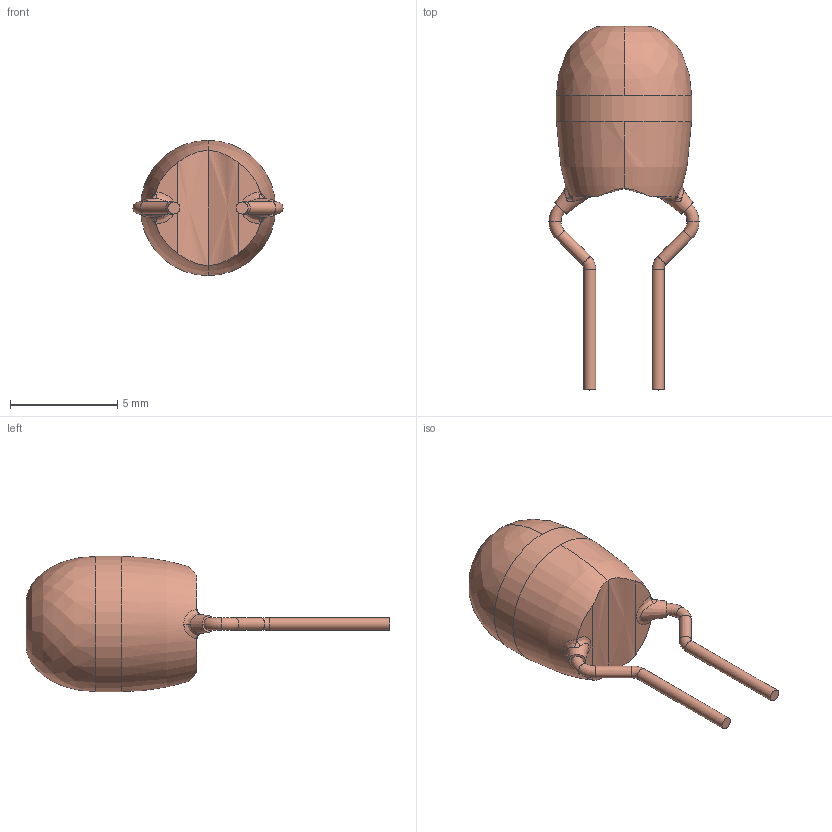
import cadquery as cq
import math


body_diameter = 6.3
body_length = 7.96
band_start = 3.5
band_end = 4.72
rear_flat_radius = 0.95
lead_end_radius = 2.55
lead_end_bulge = 0.15

saddle_half_width = 1.42
saddle_depth = 0.38
saddle_shoulder = 0.65

lead_diameter = 0.56
lead_spacing = 3.175
lead_tip_y = -9.0
overall_width = 6.99
lower_bend_start_y = -3.4
lower_bend_radius = 0.62
upper_bend_radius = 0.84
sleeve_bend_radius = 0.9
bend_angle = math.radians(45)

sleeve_diameter = 0.76
sleeve_taper = 8
sleeve_length = 1.6
sleeve_fillet = 0.35

body_radius = body_diameter / 2
lead_radius = lead_diameter / 2
bend_sin = math.sin(bend_angle)
bend_cos = math.cos(bend_angle)

lead_x = lead_spacing / 2
widest_x = overall_width / 2 - lead_radius
bend_offset = 1 - bend_cos
lower_bend_end_x = lead_x + lower_bend_radius * bend_offset
lower_bend_end_y = lower_bend_start_y + lower_bend_radius * bend_sin
upper_bend_start_x = widest_x - upper_bend_radius * bend_offset
diagonal_rise = (upper_bend_start_x - lower_bend_end_x) / math.tan(bend_angle)
upper_bend_start_y = lower_bend_end_y + diagonal_rise
widest_y = upper_bend_start_y + upper_bend_radius * bend_sin
sleeve_x = widest_x - sleeve_bend_radius * bend_offset
sleeve_y = widest_y + sleeve_bend_radius * bend_sin


def make_half_body():
    """Half barrel on the +X side: tapered flank, band and elliptical dome."""
    dome_width = body_radius - rear_flat_radius
    dome_height = body_length - band_end
    flank_mid_radius = (body_radius + lead_end_radius) / 2 + lead_end_bulge
    profile = (
        cq.Workplane("YZ")
        .lineTo(0, -lead_end_radius)
        .threePointArc((band_start / 2, -flank_mid_radius), (band_start, -body_radius))
        .lineTo(band_end, -body_radius)
        .ellipseArc(dome_height, dome_width, 270, 360, startAtCurrent=True)
        .lineTo(body_length, 0)
        .close()
    )
    return profile.revolve(180, (0, 0, 0), (-1, 0, 0))


def make_saddle():
    """Cutter with a bell-shaped profile running through the body along Z."""
    turn_x = saddle_half_width * saddle_shoulder
    turn_y = saddle_depth * (1 - saddle_shoulder)
    return (
        cq.Workplane("XY", origin=(0, 0, -body_radius))
        .moveTo(-saddle_half_width, 0)
        .spline(
            [(-turn_x, turn_y), (0, saddle_depth)],
            tangents=[(1, 0), (1, 0)],
            includeCurrent=True,
        )
        .spline(
            [(turn_x, turn_y), (saddle_half_width, 0)],
            tangents=[(1, 0), (1, 0)],
            includeCurrent=True,
        )
        .close()
        .extrude(body_diameter)
    )


def make_sleeve():
    """Cone on the +X side, leaning inward from the lead into the body."""
    plane = cq.Plane(
        origin=(sleeve_x, sleeve_y, 0),
        xDir=(bend_cos, bend_sin, 0),
        normal=(-bend_sin, bend_cos, 0),
    )
    return cq.Workplane(plane).circle(sleeve_diameter / 2).extrude(sleeve_length, taper=-sleeve_taper)


def make_lead():
    """Wire on the +X side swept along its kinked centreline up to the sleeve."""
    half_sin = math.sin(bend_angle / 2)
    half_cos = math.cos(bend_angle / 2)
    lower_mid = (
        lead_x + lower_bend_radius * (1 - half_cos),
        lower_bend_start_y + lower_bend_radius * half_sin,
    )
    upper_mid = (
        widest_x - upper_bend_radius * (1 - half_cos),
        widest_y - upper_bend_radius * half_sin,
    )
    sleeve_mid = (
        widest_x - sleeve_bend_radius * (1 - half_cos),
        widest_y + sleeve_bend_radius * half_sin,
    )
    path = (
        cq.Workplane("XY")
        .moveTo(lead_x, lead_tip_y)
        .lineTo(lead_x, lower_bend_start_y)
        .threePointArc(lower_mid, (lower_bend_end_x, lower_bend_end_y))
        .lineTo(upper_bend_start_x, upper_bend_start_y)
        .threePointArc(upper_mid, (widest_x, widest_y))
        .threePointArc(sleeve_mid, (sleeve_x, sleeve_y))
    )
    return (
        cq.Workplane("XZ", origin=(lead_x, lead_tip_y, 0))
        .circle(lead_radius)
        .sweep(path)
    )


def make_half():
    """The +X half of the part, with the sleeve blended into the body."""
    coating = make_half_body().cut(make_saddle()).union(make_sleeve())
    joint_edges = cq.selectors.BoxSelector(
        (saddle_half_width, -sleeve_diameter / 4, -sleeve_diameter),
        (body_radius, sleeve_diameter, sleeve_diameter),
    )
    return coating.edges(joint_edges).fillet(sleeve_fillet).union(make_lead())


half = make_half()
result = half.union(half.mirror("YZ"))